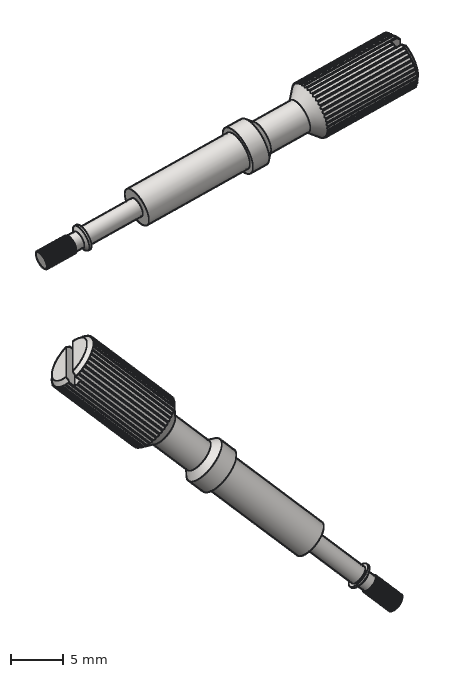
import cadquery as cq
import math

total_length = 42.55
head_face_y = total_length / 2
tip_face_y = -total_length / 2

head_diameter = 6.0
head_length = 10.95
head_chamfer = 0.43
knurl_count = 40
knurl_start_angle = 3.4
knurl_depth = 0.1
knurl_root_diameter = head_diameter - 2 * knurl_depth
knurl_land_fraction = 0.3

slot_width = 0.9
slot_depth = 1.1

shank_diameter = 3.55
collar_diameter = 5.0
collar_start = 17.55
collar_end = 19.45
sleeve_diameter = 4.0
sleeve_end = 31.3

pin_diameter = 2.0
flange_diameter = 2.72
flange_start = 37.6
flange_thickness = 0.25
flange_cone_length = 0.25
neck_diameter = 1.8
tip_length = 3.5
ring_count = 25


def ring_points():
    """Sharp rings along the tip, from the neck end down to the tip face."""
    pitch = tip_length / ring_count
    points = []
    for ring in range(ring_count):
        start_y = tip_face_y + tip_length - ring * pitch
        points.append((neck_diameter / 2, start_y))
        points.append((pin_diameter / 2, start_y - pitch / 2))
    points.append((neck_diameter / 2, tip_face_y))
    return points


def turned_body():
    """Half outline of the whole screw, revolved about the Y axis."""
    head_cone_length = (head_diameter - shank_diameter) / 2
    collar_cone_length = (collar_diameter - shank_diameter) / 2
    flange_end = flange_start + flange_thickness
    steps = [
        (0, 0),
        (knurl_root_diameter - 2 * head_chamfer, 0),
        (knurl_root_diameter, head_chamfer),
        (head_diameter, head_chamfer),
        (head_diameter, head_length),
        (shank_diameter, head_length + head_cone_length),
        (shank_diameter, collar_start - collar_cone_length),
        (collar_diameter, collar_start),
        (collar_diameter, collar_end),
        (sleeve_diameter, collar_end),
        (sleeve_diameter, sleeve_end),
        (pin_diameter, sleeve_end),
        (pin_diameter, flange_start),
        (flange_diameter, flange_start),
        (flange_diameter, flange_end),
        (neck_diameter, flange_end + flange_cone_length),
    ]
    outline = [(diameter / 2, head_face_y - distance) for diameter, distance in steps]
    outline += ring_points()
    outline.append((0, tip_face_y))
    return cq.Workplane("XY").polyline(outline).close().revolve(360, (0, 0, 0), (0, 1, 0))


def knurl_grooves():
    """Round-bottomed grooves spaced evenly round the knurled head."""
    radius = head_diameter / 2
    root_radius = knurl_root_diameter / 2
    pitch_angle = 2 * math.pi / knurl_count
    half_angle = pitch_angle * (1 - knurl_land_fraction) / 2
    half_width = radius * math.sin(half_angle)
    sagitta = radius * math.cos(half_angle) - root_radius
    cutter_radius = (half_width**2 + sagitta**2) / (2 * sagitta)
    cutter_length = head_length + (head_diameter - shank_diameter) / 2
    cutter = (
        cq.Workplane("XZ", origin=(0, head_face_y, 0))
        .center(0, root_radius + cutter_radius)
        .circle(cutter_radius)
        .extrude(cutter_length)
    )
    grooves = []
    for index in range(knurl_count):
        angle = math.degrees(pitch_angle) * index + knurl_start_angle
        grooves.append(cutter.rotate((0, 0, 0), (0, 1, 0), angle).val())
    return grooves


def slot():
    """Cutter centred on the head face, so half its height sinks into the head."""
    cutter = cq.Workplane("XY").box(slot_width, 2 * slot_depth, 2 * head_diameter)
    return cutter.translate((0, head_face_y, 0))


body = turned_body().val().cut(*knurl_grooves())
result = cq.Workplane("XY").newObject([body]).cut(slot())